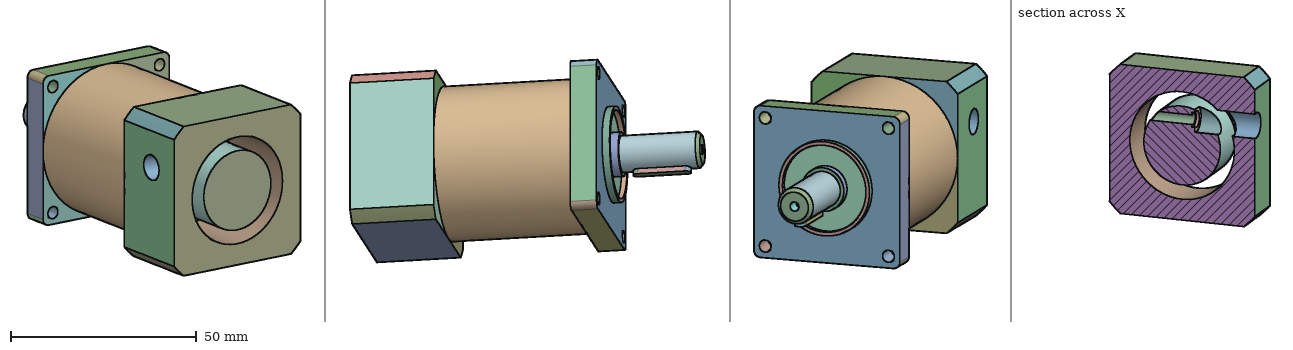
import cadquery as cq
import math


overall_length = 92.7
body_width = 42.0

shoulder_x = 22.0
pilot_x = 23.0
flange_x = 25.0
barrel_x = 32.3
block_x = 69.7

flange_corner_radius = 1.95
bolt_offset = 17.7
bolt_hole_diameter = 3.3
pilot_diameter = 26.05
recess_diameter = 24.0
recess_depth = 1.5

block_corner_diameter = 55.1
motor_bore_diameter = 30.0
access_hole_diameter = 7.0
screw_x = 82.2
screw_z = 7.5

shaft_diameter = 10.0
shoulder_diameter = 12.05
shaft_chamfer = 1.0
centre_hole_diameter = 2.5
centre_hole_depth = 4.6
centre_tip_angle = 118.0

key_length = 15.9
key_width = 3.0
key_start_x = 3.1
key_inner_z = -3.15
key_outer_z = -6.2

hub_diameter = 22.25
screw_seat_top_z = 10.5
screw_hole_diameter = 3.2
counterbore_diameter = 4.5
counterbore_depth = 0.9
screw_seat_y = -math.sqrt((hub_diameter / 2) ** 2 - screw_seat_top_z**2)


def x_cylinder(start_x, end_x, diameter):
    """Cylinder on the shaft axis."""
    return cq.Workplane("YZ", origin=(start_x, 0, 0)).circle(diameter / 2).extrude(end_x - start_x)


def x_square(start_x, end_x):
    """Square prism of the body width on the shaft axis."""
    return cq.Workplane("YZ", origin=(start_x, 0, 0)).rect(body_width, body_width).extrude(end_x - start_x)


def screw_cylinder(start_y, end_y, diameter):
    """Cylinder on the axis of the clamping screw, which runs along Y; the XZ plane faces -Y."""
    return (
        cq.Workplane("XZ", origin=(screw_x, start_y, screw_z))
        .circle(diameter / 2)
        .extrude(start_y - end_y)
    )


def make_key():
    """Round-ended key; the keyway has the same shape."""
    return (
        cq.Workplane("XY", origin=(key_start_x + key_length / 2, 0, key_outer_z))
        .slot2D(key_length, key_width)
        .extrude(key_inner_z - key_outer_z)
    )


def make_shaft():
    """Stepped shaft seated in the flange, with a keyway and a centre hole in its tip."""
    journal = x_cylinder(0, shoulder_x, shaft_diameter).faces("<X").chamfer(shaft_chamfer)
    shoulder = x_cylinder(shoulder_x, barrel_x, shoulder_diameter)

    hole_radius = centre_hole_diameter / 2
    tip_length = hole_radius / math.tan(math.radians(centre_tip_angle / 2))
    centre_hole = (
        cq.Workplane("XY")
        .polyline(
            [
                (0, 0),
                (0, hole_radius),
                (centre_hole_depth, hole_radius),
                (centre_hole_depth + tip_length, 0),
            ]
        )
        .close()
        .revolve(360, (0, 0, 0), (1, 0, 0))
    )
    return journal.union(shoulder).cut(make_key()).cut(centre_hole)


def make_flange():
    """Square mounting flange with bolt holes and a recessed pilot ring."""
    plate = x_square(flange_x, barrel_x).edges("|X").fillet(flange_corner_radius)
    bolt_holes = (
        cq.Workplane("YZ", origin=(flange_x, 0, 0))
        .rect(2 * bolt_offset, 2 * bolt_offset, forConstruction=True)
        .vertices()
        .circle(bolt_hole_diameter / 2)
        .extrude(barrel_x - flange_x)
    )
    pilot = x_cylinder(pilot_x, flange_x, pilot_diameter)
    recess = x_cylinder(pilot_x, pilot_x + recess_depth, recess_diameter)
    shaft_seat = x_cylinder(pilot_x, barrel_x, shoulder_diameter)
    return plate.cut(bolt_holes).union(pilot).cut(recess).cut(shaft_seat)


def make_motor_block():
    """Square block with its corners turned round, a motor bore and a screw access hole."""
    block = x_square(block_x, overall_length)
    block = block.intersect(x_cylinder(block_x, overall_length, block_corner_diameter))
    motor_bore = x_cylinder(block_x, overall_length, motor_bore_diameter)
    access_hole = screw_cylinder(-body_width / 2, 0, access_hole_diameter)
    return block.cut(motor_bore).cut(access_hole)


def make_housing():
    """Flange, round gear barrel and motor block in one piece."""
    barrel = x_cylinder(barrel_x, block_x, body_width)
    return make_flange().union(barrel).union(make_motor_block())


def make_hub():
    """Clamping hub on the bore floor, with a flat screw seat and a counterbored screw hole."""
    hub = x_cylinder(block_x, overall_length, hub_diameter)
    screw_seat = screw_cylinder(-hub_diameter / 2, screw_seat_y, access_hole_diameter)
    counterbore = screw_cylinder(screw_seat_y, screw_seat_y + counterbore_depth, counterbore_diameter)
    screw_hole = screw_cylinder(screw_seat_y, hub_diameter / 2, screw_hole_diameter)
    return hub.cut(screw_seat).cut(counterbore).cut(screw_hole)


housing = make_housing()
shaft = make_shaft()
key = make_key()
hub = make_hub()

result = cq.Compound.makeCompound([housing.val(), shaft.val(), key.val(), hub.val()])